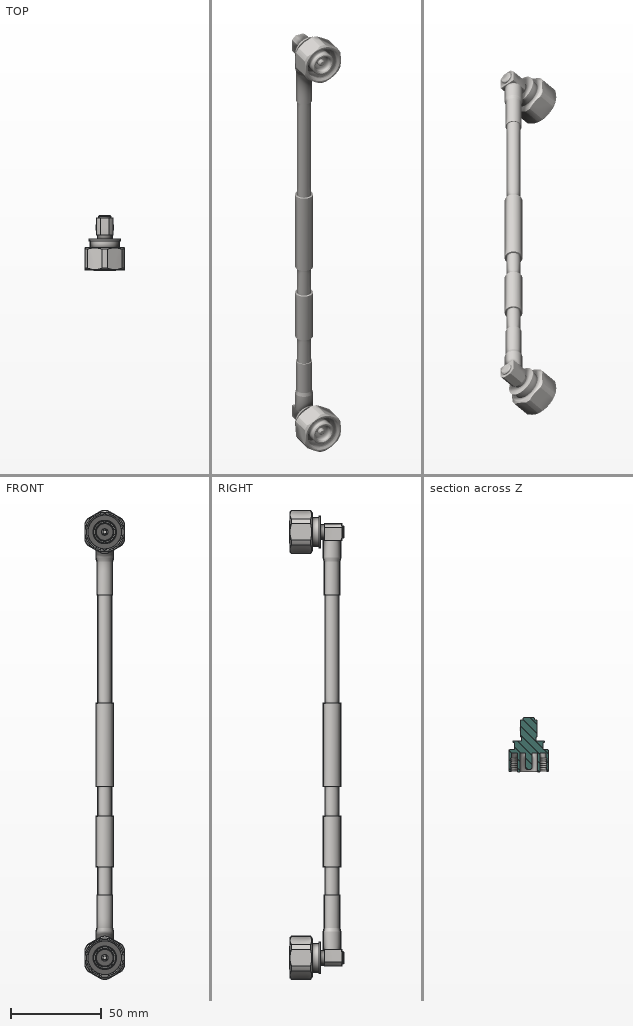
import cadquery as cq
import math

overall_height = 258.5
nut_corner_radius = 12.0
connector_height = overall_height / 2 - nut_corner_radius

cable_radius = 4.0
sleeve_radius = 5.0
long_sleeve_bottom, long_sleeve_top = -23.0, 23.0
short_sleeve_bottom, short_sleeve_top = -67.2, -39.3

ferrule_radius = 4.5
ferrule_end_height = 82.7
collar_radius = 5.0
collar_straight_end_height = 103.1
collar_taper_end_height = 101.0

block_half_width = 4.7
block_chamfer = 2.2
block_back_y = 5.5
block_front_y = -4.1

cap_back_y = 6.7
cap_radius = 3.4
cap_chamfer = 0.5

neck_radius = 4.1
flange_radius = 8.8
flange_back_y = -6.2
flange_front_y = -7.2
shoulder_radius = 8.0

nut_width = 22.0
nut_back_y = -10.9
nut_front_y = -23.3
nut_back_face_radius = 10.3
nut_front_face_radius = 10.9
nut_taper_length = 0.9

socket_radius = 9.3
socket_depth = 10.3
tube_outer_radius = 6.5
tube_bore_radius = 4.7
tube_tip_chamfer = 0.5
tube_front_y = -23.5
pin_radius = 1.8
pin_front_y = -22.0
pin_tip_chamfer = 0.8

thread_groove_radius = 10.0
thread_pitch = 1.0
thread_groove_count = 7


def upright_cylinder(radius, bottom, top):
    """Cylinder on the cable axis between two heights."""
    return cq.Workplane("XY").workplane(offset=bottom).circle(radius).extrude(top - bottom)


def forward_cylinder(radius, back_y, front_y):
    """Cylinder on the connector axis, from back_y forward to front_y."""
    plane = cq.Workplane("XZ", origin=(0, back_y, connector_height))
    return plane.circle(radius).extrude(back_y - front_y)


def make_cable():
    """Cable that ends against the elbow block of each connector."""
    end_height = connector_height - block_half_width
    return upright_cylinder(cable_radius, -end_height, end_height)


def make_sleeve(bottom, top):
    """Tube that fits around the cable."""
    bore = upright_cylinder(cable_radius, bottom, top)
    return upright_cylinder(sleeve_radius, bottom, top).cut(bore)


def make_cable_entry():
    """Ferrule and tapered collar below the elbow block, bored for the cable."""
    block_bottom = connector_height - block_half_width
    outline = [
        (cable_radius, ferrule_end_height),
        (ferrule_radius, ferrule_end_height),
        (ferrule_radius, collar_taper_end_height),
        (collar_radius, collar_straight_end_height),
        (collar_radius, block_bottom),
        (cable_radius, block_bottom),
    ]
    return cq.Workplane("XZ").polyline(outline).close().revolve(360, (0, 0), (0, 1))


def make_elbow():
    """Elbow block with a chamfered top and a round cap on its back."""
    width = 2 * block_half_width
    block = (
        cq.Workplane("XZ", origin=(0, block_back_y, connector_height))
        .rect(width, width)
        .extrude(block_back_y - block_front_y)
        .edges("|Y and >Z")
        .chamfer(block_chamfer)
    )
    cap = forward_cylinder(cap_radius, cap_back_y, block_back_y).faces(">Y").chamfer(cap_chamfer)
    return block.union(cap)


def make_neck():
    """Neck, thin flange and shoulder that lead from the elbow block to the nut."""
    neck = forward_cylinder(neck_radius, block_front_y, flange_back_y)
    flange = forward_cylinder(flange_radius, flange_back_y, flange_front_y)
    shoulder = forward_cylinder(shoulder_radius, flange_front_y, nut_back_y)
    return neck.union(flange).union(shoulder)


def make_thread_grooves():
    """Zigzag ring that cuts the grooves, starting with a bevel at the mouth of the socket."""
    outline = [(0, nut_front_y), (thread_groove_radius, nut_front_y)]
    for index in range(thread_groove_count):
        crest_y = nut_front_y + (index + 0.5) * thread_pitch
        outline.append((socket_radius, crest_y))
        outline.append((thread_groove_radius, crest_y + thread_pitch / 2))
    end_y = nut_front_y + (thread_groove_count + 0.5) * thread_pitch
    outline += [(socket_radius, end_y), (0, end_y)]
    plane = cq.Workplane("XY", origin=(0, 0, connector_height))
    return plane.polyline(outline).close().revolve(360, (0, 0), (0, 1))


def make_nut():
    """Hexagon with flats on the X sides, trimmed to a turned profile, with an open socket."""
    hexagon_diameter = nut_width / math.cos(math.pi / 6)
    hexagon = (
        cq.Workplane("XZ", origin=(0, nut_back_y, connector_height))
        .transformed(rotate=(0, 0, 30))
        .polygon(6, hexagon_diameter)
        .extrude(nut_back_y - nut_front_y)
    )
    turned_outline = [
        (0, nut_back_y),
        (nut_back_face_radius, nut_back_y),
        (nut_corner_radius, nut_back_y - nut_taper_length),
        (nut_corner_radius, nut_front_y + nut_taper_length),
        (nut_front_face_radius, nut_front_y),
        (0, nut_front_y),
    ]
    turned_profile = (
        cq.Workplane("XY", origin=(0, 0, connector_height))
        .polyline(turned_outline)
        .close()
        .revolve(360, (0, 0), (0, 1))
    )
    socket = forward_cylinder(socket_radius, nut_front_y + socket_depth, nut_front_y)
    return hexagon.intersect(turned_profile).cut(socket).cut(make_thread_grooves())


def make_contacts():
    """Contact tube and centre pin standing on the floor of the socket."""
    floor_y = nut_front_y + socket_depth
    tube_bore = forward_cylinder(tube_bore_radius, floor_y, tube_front_y)
    tube = forward_cylinder(tube_outer_radius, floor_y, tube_front_y).cut(tube_bore)
    tube = tube.faces("<Y").chamfer(tube_tip_chamfer)
    pin = forward_cylinder(pin_radius, floor_y, pin_front_y)
    pin = pin.faces("<Y").chamfer(pin_tip_chamfer)
    return tube, pin


def make_connector():
    """Right-angle connector at the upper end of the cable, as one solid."""
    tube, pin = make_contacts()
    nut = make_nut().union(tube).union(pin)
    return make_cable_entry().union(make_elbow()).union(make_neck()).union(nut)


cable = make_cable()

sleeve_spans = [
    (long_sleeve_bottom, long_sleeve_top),
    (short_sleeve_bottom, short_sleeve_top),
]
sleeves = [make_sleeve(bottom, top) for bottom, top in sleeve_spans]

upper_connector = make_connector()
lower_connector = upper_connector.mirror("XY")

result = cq.Compound.makeCompound(
    [
        cable.val(),
        *[sleeve.val() for sleeve in sleeves],
        upper_connector.val(),
        lower_connector.val(),
    ]
)